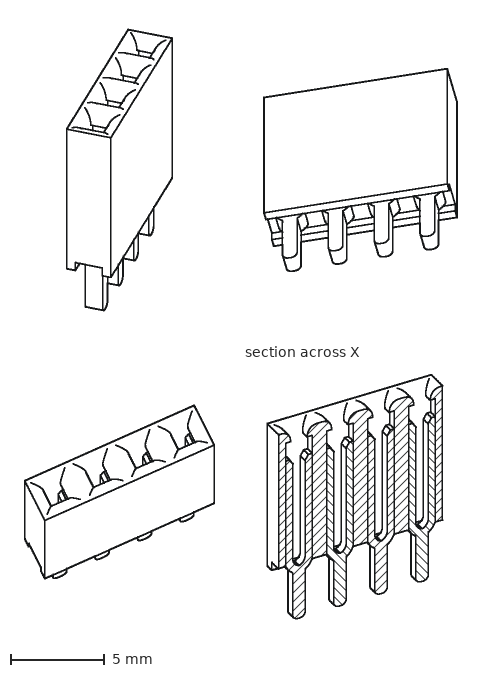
import cadquery as cq
import math


contact_count = 4
housing_length = 10.0
pitch = housing_length / contact_count
housing_width = pitch
housing_height = 9.0
channel_width = 1.5
channel_depth = 0.5

mouth_size = 2.2
throat_size = 1.0
mouth_radius = (mouth_size - throat_size) / 2
lip_height = 0.1

contact_width = throat_size
fork_span = 1.6
fork_gap = 0.72
fork_top = 7.2
shoulder_radius = 1.0
lead_in_width = 0.2
lead_in_height = 0.32
tail_thickness = 0.8
tail_length = 3.0
tail_tip_radius = 0.35

chamber_top = housing_height - mouth_radius - lip_height
cell_positions = [(i - (contact_count - 1) / 2) * pitch for i in range(contact_count)]


def mouth_profile(plane):
    """Bell-mouthed section of the entry, extruded to both sides of the plane."""
    mouth_half = mouth_size / 2
    throat_half = throat_size / 2
    throat_start = housing_height - mouth_radius
    arc_inset = mouth_radius * (1 - math.sqrt(0.5))
    arc_middle = (throat_half + arc_inset, housing_height - arc_inset)
    return (
        cq.Workplane(plane)
        .moveTo(-throat_half, chamber_top)
        .lineTo(throat_half, chamber_top)
        .lineTo(throat_half, throat_start)
        .threePointArc(arc_middle, (mouth_half, housing_height))
        .lineTo(-mouth_half, housing_height)
        .threePointArc((-arc_middle[0], arc_middle[1]), (-throat_half, throat_start))
        .close()
        .extrude(mouth_half, both=True)
    )


def make_housing():
    housing = cq.Workplane("XY").box(
        housing_width, housing_length, housing_height, centered=(True, True, False)
    )
    channel = cq.Workplane("XY").box(
        channel_width, housing_length, channel_depth, centered=(True, True, False)
    )
    housing = housing.cut(channel)

    entry = mouth_profile("XZ").intersect(mouth_profile("YZ"))
    chamber = cq.Workplane("XY").box(
        contact_width, fork_span, chamber_top, centered=(True, True, False)
    )
    for y in cell_positions:
        housing = housing.cut(chamber.translate((0, y, 0)))
        housing = housing.cut(entry.translate((0, y, 0)))
    return housing


def shoulder_center():
    """Centre (y, z) of the shoulder curve on the +Y side of a contact."""
    start_y = tail_thickness / 2
    end_y = fork_span / 2
    chord = math.hypot(end_y - start_y, channel_depth)
    offset = math.sqrt(shoulder_radius**2 - (chord / 2) ** 2) / chord
    center_y = (start_y + end_y) / 2 - channel_depth * offset
    center_z = channel_depth / 2 + (end_y - start_y) * offset
    return center_y, center_z


def make_contact():
    """Two-armed fork above a flat tail, symmetric about Y = 0."""
    center_y, center_z = shoulder_center()
    tail_half = tail_thickness / 2
    arm_outer = fork_span / 2
    arm_inner = fork_gap / 2
    floor_radius = arm_inner - center_y

    def on_arc(radius, angle):
        return center_y + radius * math.cos(angle), center_z + radius * math.sin(angle)

    shoulder_start = math.atan2(-center_z, tail_half - center_y)
    shoulder_end = math.atan2(channel_depth - center_z, arm_outer - center_y)
    floor_end = -math.acos(-center_y / floor_radius)

    half = (
        cq.Workplane("YZ")
        .moveTo(0, -tail_length)
        .lineTo(tail_half - tail_tip_radius, -tail_length)
        .radiusArc((tail_half, tail_tip_radius - tail_length), -tail_tip_radius)
        .lineTo(tail_half, 0)
        .threePointArc(
            on_arc(shoulder_radius, (shoulder_start + shoulder_end) / 2),
            (arm_outer, channel_depth),
        )
        .lineTo(arm_outer, fork_top)
        .lineTo(arm_inner + lead_in_width, fork_top)
        .lineTo(arm_inner, fork_top - lead_in_height)
        .lineTo(arm_inner, center_z)
        .threePointArc(on_arc(floor_radius, floor_end / 2), on_arc(floor_radius, floor_end))
        .close()
        .extrude(contact_width / 2, both=True)
    )
    return half.union(half.mirror("XZ"))


housing = make_housing()
contact = make_contact()
contacts = [contact.translate((0, y, 0)) for y in cell_positions]

result = cq.Compound.makeCompound([housing.val(), *[placed.val() for placed in contacts]])